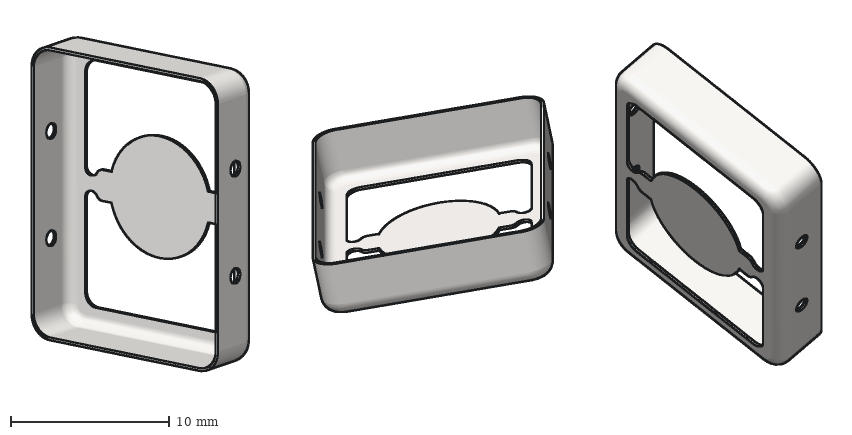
import cadquery as cq
import math

width = 14.9
depth = 3.8
height = 19.2
wall = 0.2
corner_radius = 1.5
floor_edge_radius = 0.9

window_margin = 1.5
window_corner_radius = 0.9

disc_radius = 4.0
arm_half_height = 1.02
neck_half_height = 0.5
notch_radius = 0.5

hole_diameter = 1.0
hole_spacing = 7.03
hole_from_back = 2.0

back_y = depth / 2
floor_front_y = back_y - wall
window_width = width - 2 * window_margin
window_height = height - 2 * window_margin


def rounded_block(size_x, size_z, length, vertical_radius, back_edge_radius):
    """Block running from the open -Y face, with rounded corners and back edges."""
    return (
        cq.Workplane("XZ", origin=(0, -depth / 2, 0))
        .rect(size_x, size_z)
        .extrude(-length)
        .edges("|Y")
        .fillet(vertical_radius)
        .faces(">Y")
        .edges()
        .fillet(back_edge_radius)
    )


def floor_plane():
    """Sketch plane on the inner floor; a negative extrusion goes toward +Y."""
    return cq.Workplane("XZ", origin=(0, floor_front_y, 0))


def make_window():
    return (
        floor_plane()
        .rect(window_width, window_height)
        .extrude(-wall)
        .edges("|Y")
        .fillet(window_corner_radius)
    )


def make_arms():
    """Both arms as one strip, each end narrowed by tangent notch and shoulder arcs."""
    end_x = window_width / 2
    notch_x = end_x - notch_radius
    notch_z = neck_half_height + notch_radius
    shoulder_z = arm_half_height - notch_radius
    shoulder_x = notch_x - math.sqrt((2 * notch_radius) ** 2 - (notch_z - shoulder_z) ** 2)
    join_x = (notch_x + shoulder_x) / 2
    join_z = (notch_z + shoulder_z) / 2
    join_angle = math.atan2(notch_z - shoulder_z, notch_x - shoulder_x)
    shoulder_mid_angle = (math.pi / 2 + join_angle) / 2
    shoulder_mid_x = shoulder_x + notch_radius * math.cos(shoulder_mid_angle)
    shoulder_mid_z = shoulder_z + notch_radius * math.sin(shoulder_mid_angle)
    quarter = (
        floor_plane()
        .lineTo(0, arm_half_height)
        .lineTo(shoulder_x, arm_half_height)
        .threePointArc((shoulder_mid_x, shoulder_mid_z), (join_x, join_z))
        .threePointArc((notch_x, neck_half_height), (end_x, notch_z))
        .lineTo(end_x, 0)
        .close()
        .extrude(-wall)
    )
    half = quarter.union(quarter.mirror("XY"))
    return half.union(half.mirror("YZ"))


def make_pin_holes():
    return (
        cq.Workplane("YZ", origin=(-width / 2, back_y - hole_from_back, 0))
        .pushPoints([(0, -hole_spacing / 2), (0, hole_spacing / 2)])
        .circle(hole_diameter / 2)
        .extrude(width)
    )


outer = rounded_block(width, height, depth, corner_radius, floor_edge_radius)
cavity = rounded_block(
    width - 2 * wall,
    height - 2 * wall,
    depth - wall,
    corner_radius - wall,
    floor_edge_radius - wall,
)
disc = floor_plane().circle(disc_radius).extrude(-wall)

tray = outer.cut(cavity).cut(make_window()).cut(make_pin_holes())
result = tray.union(make_arms()).union(disc)